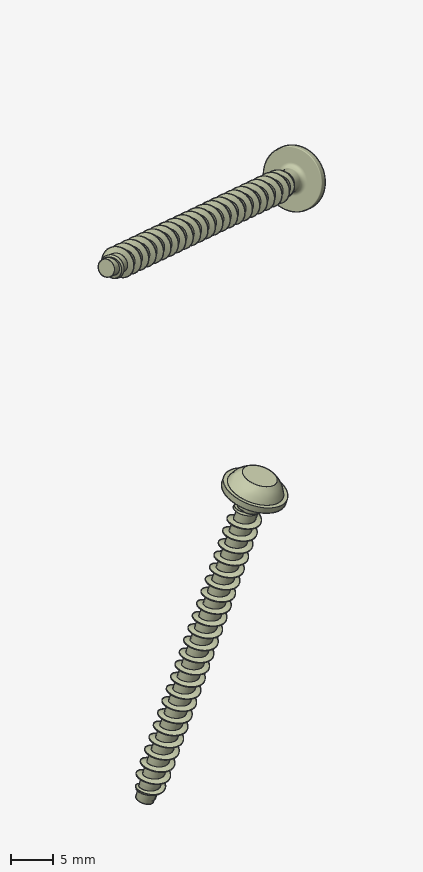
import cadquery as cq


FLANGE_RADIUS = 4.0
FLANGE_THICKNESS = 0.85
FLANGE_EDGE_RADIUS = 0.1
DOME_HEIGHT = 1.75
DOME_BASE_RADIUS = 3.48
DOME_TOP_RADIUS = 2.15
DOME_BULGE = 0.13

SHANK_LENGTH = 45.0
NECK_RADIUS = 1.42
NECK_LENGTH = 2.0
NECK_FILLET = 0.6
CORE_RADIUS = 1.27
TIP_RADIUS = 1.11
TIP_TAPER_LENGTH = 2.5

THREAD_RADIUS = 2.0
PITCH = 1.79
CREST_WIDTH = 0.1
ROOT_WIDTH = 0.45
ROOT_OVERLAP = 0.3
CREST_AT_PLUS_X = -4.3
TURNS_ABOVE_CREST = 2
RUN_IN_RADIUS = 1.5
RUN_IN_LENGTH = 1.35
RUN_OUT_RADIUS = 0.95
RUN_OUT_LENGTH = 2.5
ENVELOPE_CLEARANCE = 0.5


def head_and_shank():
    """Head, neck, core and tapered tip as one revolved profile."""
    dome_base_y = FLANGE_THICKNESS
    dome_top_y = dome_base_y + DOME_HEIGHT
    arc_middle = (
        (DOME_BASE_RADIUS + DOME_TOP_RADIUS) / 2 + DOME_BULGE,
        (dome_base_y + dome_top_y) / 2 + DOME_BULGE,
    )
    return (
        cq.Workplane("XY")
        .moveTo(0, dome_top_y)
        .lineTo(DOME_TOP_RADIUS, dome_top_y)
        .threePointArc(arc_middle, (DOME_BASE_RADIUS, dome_base_y))
        .lineTo(FLANGE_RADIUS, dome_base_y)
        .lineTo(FLANGE_RADIUS, FLANGE_EDGE_RADIUS)
        .radiusArc((FLANGE_RADIUS - FLANGE_EDGE_RADIUS, 0), FLANGE_EDGE_RADIUS)
        .lineTo(NECK_RADIUS + NECK_FILLET, 0)
        .radiusArc((NECK_RADIUS, -NECK_FILLET), -NECK_FILLET)
        .lineTo(NECK_RADIUS, -NECK_LENGTH)
        .lineTo(CORE_RADIUS, -NECK_LENGTH)
        .lineTo(CORE_RADIUS, TIP_TAPER_LENGTH - SHANK_LENGTH)
        .lineTo(TIP_RADIUS, -SHANK_LENGTH)
        .lineTo(0, -SHANK_LENGTH)
        .close()
        .revolve(360, (0, 0, 0), (0, 1, 0))
    )


def thread_envelope():
    """Solid of revolution whose two end cones fade the thread; it clears the full-height crests."""
    run_in_slope = (THREAD_RADIUS - RUN_IN_RADIUS) / RUN_IN_LENGTH
    run_out_slope = (THREAD_RADIUS - RUN_OUT_RADIUS) / RUN_OUT_LENGTH
    outer_radius = THREAD_RADIUS + ENVELOPE_CLEARANCE
    run_in_end = -NECK_LENGTH - (outer_radius - RUN_IN_RADIUS) / run_in_slope
    run_out_start = -SHANK_LENGTH + (outer_radius - RUN_OUT_RADIUS) / run_out_slope
    return (
        cq.Workplane("XY")
        .moveTo(0, -NECK_LENGTH)
        .lineTo(RUN_IN_RADIUS, -NECK_LENGTH)
        .lineTo(outer_radius, run_in_end)
        .lineTo(outer_radius, run_out_start)
        .lineTo(RUN_OUT_RADIUS, -SHANK_LENGTH)
        .lineTo(0, -SHANK_LENGTH)
        .close()
        .revolve(360, (0, 0, 0), (0, 1, 0))
    )


def helical_ridge():
    """Trapezoidal ridge swept along the helix, running past the tip and up into the neck zone."""
    turns_below_crest = int((SHANK_LENGTH + CREST_AT_PLUS_X) / PITCH) + 1
    start = CREST_AT_PLUS_X - turns_below_crest * PITCH

    one_turn = cq.Wire.makeHelix(PITCH, PITCH, CORE_RADIUS)
    helix_edges = []
    for turn in range(turns_below_crest + TURNS_ABOVE_CREST):
        moved_turn = one_turn.translate(cq.Vector(0, 0, turn * PITCH))
        helix_edges.extend(moved_turn.Edges())
    helix = cq.Wire.assembleEdges(helix_edges)

    flank_slope = (ROOT_WIDTH - CREST_WIDTH) / 2 / (THREAD_RADIUS - CORE_RADIUS)
    half_inner = ROOT_WIDTH / 2 + flank_slope * ROOT_OVERLAP
    half_crest = CREST_WIDTH / 2
    inner_radius = CORE_RADIUS - ROOT_OVERLAP
    ridge = (
        cq.Workplane("XZ")
        .moveTo(inner_radius, -half_inner)
        .lineTo(THREAD_RADIUS, -half_crest)
        .lineTo(THREAD_RADIUS, half_crest)
        .lineTo(inner_radius, half_inner)
        .close()
        .sweep(cq.Workplane(obj=helix), isFrenet=True)
    )
    return ridge.rotate((0, 0, 0), (1, 0, 0), -90).translate((0, start, 0))


thread = helical_ridge().intersect(thread_envelope())
result = head_and_shank().union(thread)